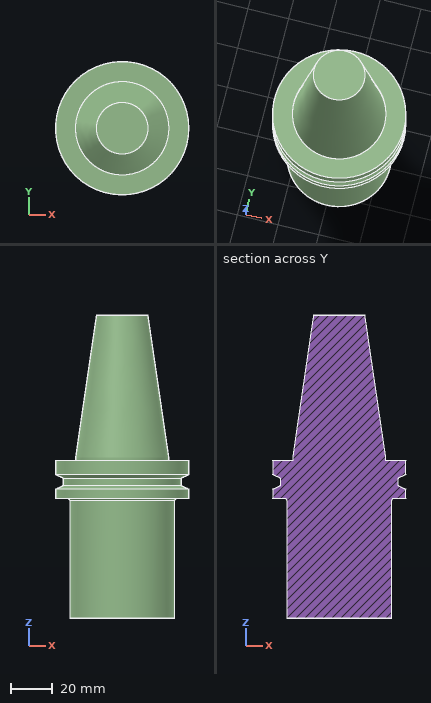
import cadquery as cq

total_height = 144.5
flange_bottom = 57.0
flange_top = 75.3
collar_top = 76.5
groove_center = 65.0
groove_floor_width = 3.5
groove_mouth_width = 7.0
flare_height = 0.9

body_diameter = 50.0
flare_diameter = 51.4
flange_diameter = 63.5
groove_diameter = 56.3
taper_large_diameter = 44.5
taper_small_diameter = 24.5


def cylinder(diameter, bottom, top):
    """Upright cylinder on the Z axis between two heights."""
    return cq.Workplane("XY").workplane(offset=bottom).circle(diameter / 2).extrude(top - bottom)


def grooved_flange():
    """Flange with a V-sided groove around its rim."""
    outer = flange_diameter / 2
    floor = groove_diameter / 2
    profile = [
        (0, flange_bottom),
        (outer, flange_bottom),
        (outer, groove_center - groove_mouth_width / 2),
        (floor, groove_center - groove_floor_width / 2),
        (floor, groove_center + groove_floor_width / 2),
        (outer, groove_center + groove_mouth_width / 2),
        (outer, flange_top),
        (0, flange_top),
    ]
    return cq.Workplane("XZ").polyline(profile).close().revolve(360, (0, 0), (0, 1))


def cone(bottom_diameter, top_diameter, bottom, top):
    """Upright truncated cone on the Z axis between two heights."""
    return (
        cq.Workplane("XY")
        .workplane(offset=bottom)
        .circle(bottom_diameter / 2)
        .workplane(offset=top - bottom)
        .circle(top_diameter / 2)
        .loft(ruled=True)
    )


flare_bottom = flange_bottom - flare_height
body = cylinder(body_diameter, 0, flare_bottom)
flare = cone(body_diameter, flare_diameter, flare_bottom, flange_bottom)

collar = cylinder(taper_large_diameter, flange_top, collar_top)
taper = cone(taper_large_diameter, taper_small_diameter, collar_top, total_height)

result = body.union(flare).union(grooved_flange()).union(collar).union(taper)